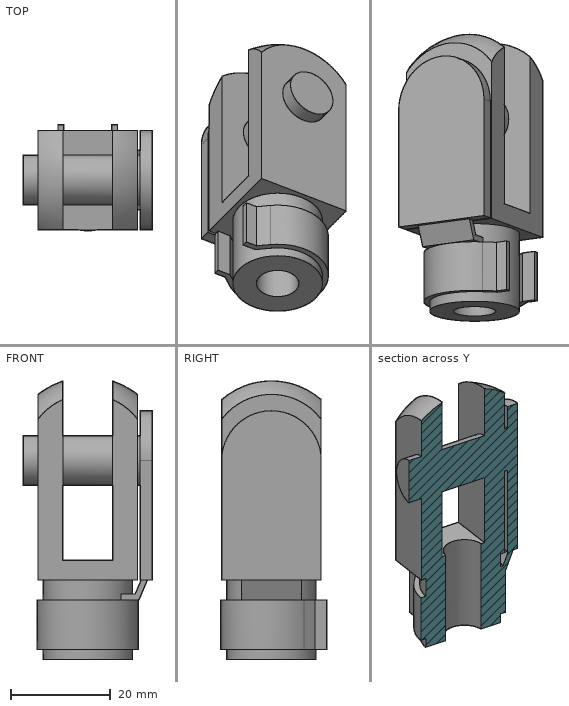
import cadquery as cq
import math

fork_width = 20.0
fork_bottom = 16.0
fork_top = 56.0
slot_width = 10.0
slot_floor = 20.0
crown_radius = 16.0

neck_radius = 9.0
bore_radius = 4.25

assembly_half_length = 13.0
pin_radius = 5.0
pin_height = 40.0
plate_thickness = 2.5

sheet = 1.2
clip_bottom = 2.0
clip_top = 12.0
clip_radius = neck_radius + sheet
ear_outer_x = 6.0
ear_end_y = 11.12
ring_end_angle = 140.0

strip_width = 12.0
tab_end_x = 10.3
strip_lean = 1.7

fork_half = fork_width / 2
plate_inner_x = assembly_half_length - plate_thickness


def vertical_cylinder(radius, bottom, top):
    return cq.Workplane("XY").workplane(offset=bottom).circle(radius).extrude(top - bottom)


def make_fork():
    height = fork_top - fork_bottom
    block = cq.Workplane("XY").workplane(offset=fork_bottom).rect(fork_width, fork_width).extrude(height)
    crown_center = fork_top - math.sqrt(crown_radius**2 - (slot_width / 2) ** 2)
    crown = cq.Workplane("XY").sphere(crown_radius).translate((0, 0, crown_center))
    envelope = vertical_cylinder(crown_radius, fork_bottom, crown_center).union(crown)
    slot = (
        cq.Workplane("XY")
        .workplane(offset=slot_floor)
        .rect(slot_width, fork_width)
        .extrude(fork_top - slot_floor)
    )
    return block.intersect(envelope).cut(slot)


def make_pin():
    length = assembly_half_length + plate_inner_x
    return (
        cq.Workplane("YZ", origin=(-assembly_half_length, 0, pin_height))
        .circle(pin_radius)
        .extrude(length)
    )


def make_plate():
    return (
        cq.Workplane("YZ", origin=(plate_inner_x, 0, 0))
        .moveTo(-fork_half, fork_bottom)
        .lineTo(fork_half, fork_bottom)
        .lineTo(fork_half, pin_height)
        .threePointArc((0, pin_height + fork_half), (-fork_half, pin_height))
        .close()
        .extrude(plate_thickness)
    )


def clip_side_points(radius, ear_x):
    """Left-hand arc end, and the corner where its tangent meets the ear face at x = -ear_x."""
    angle = math.radians(ring_end_angle)
    arc_x = radius * math.cos(angle)
    arc_y = radius * math.sin(angle)
    corner_y = (radius + ear_x * math.cos(angle)) / math.sin(angle)
    return (arc_x, arc_y), (-ear_x, corner_y)


def mirrored(point):
    return (-point[0], point[1])


def make_clip():
    ear_inner_x = ear_outer_x - sheet
    outer_arc_end, outer_corner = clip_side_points(clip_radius, ear_outer_x)
    inner_arc_end, inner_corner = clip_side_points(neck_radius, ear_inner_x)
    return (
        cq.Workplane("XY")
        .workplane(offset=clip_bottom)
        .moveTo(-ear_outer_x, ear_end_y)
        .lineTo(*outer_corner)
        .lineTo(*outer_arc_end)
        .threePointArc((0, -clip_radius), mirrored(outer_arc_end))
        .lineTo(*mirrored(outer_corner))
        .lineTo(ear_outer_x, ear_end_y)
        .lineTo(ear_inner_x, ear_end_y)
        .lineTo(*mirrored(inner_corner))
        .lineTo(*mirrored(inner_arc_end))
        .threePointArc((0, -neck_radius), inner_arc_end)
        .lineTo(*inner_corner)
        .lineTo(-ear_inner_x, ear_end_y)
        .close()
        .extrude(clip_top - clip_bottom)
    )


def make_strip():
    tab = (
        cq.Workplane("XZ")
        .moveTo(bore_radius, clip_top)
        .lineTo(tab_end_x, clip_top)
        .lineTo(tab_end_x, clip_top + sheet)
        .lineTo(bore_radius, clip_top + sheet)
        .close()
        .extrude(strip_width / 2, both=True)
    )
    rise = fork_bottom - clip_top
    thickness_along_x = sheet * math.hypot(rise, strip_lean) / rise
    leaning_strip = (
        cq.Workplane("XZ")
        .moveTo(tab_end_x, clip_top)
        .lineTo(tab_end_x + strip_lean, fork_bottom)
        .lineTo(tab_end_x + strip_lean - thickness_along_x, fork_bottom)
        .lineTo(tab_end_x - thickness_along_x, clip_top)
        .close()
        .extrude(strip_width / 2, both=True)
    )
    return tab.union(leaning_strip)


bore = vertical_cylinder(bore_radius, 0, slot_floor)
body = make_fork().union(vertical_cylinder(neck_radius, 0, fork_bottom))
body = body.union(make_clip()).union(make_strip()).cut(bore)
result = body.union(make_pin()).union(make_plate())